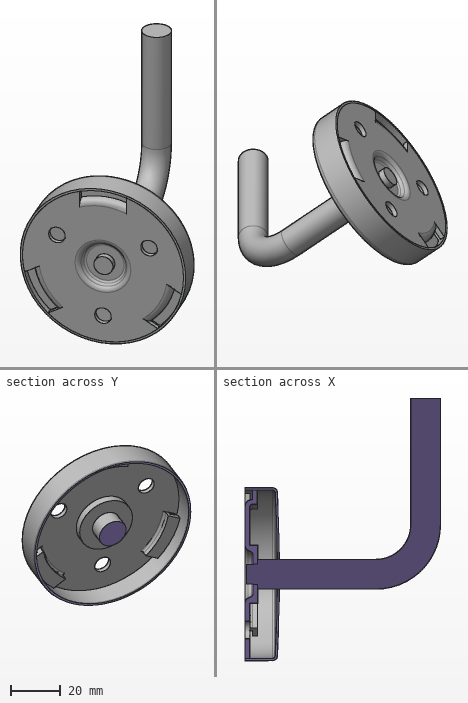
import cadquery as cq
import math

overall_depth = 79.0
overall_height = 106.0

cap_radius = 35.0
cap_wall = 1.0
cap_edge_depth = 13.0
cap_crown_depth = 14.0
cap_edge_fillet = 2.0
cap_inner_radius = cap_radius - cap_wall

sheet = 2.0
bend_inner_radius = 1.0
bend_outer_radius = bend_inner_radius + sheet
plate_radius = cap_inner_radius

dimple_mouth_radius = 11.8
dimple_throat_radius = 9.6
dimple_base_radius = 8.9
dimple_floor_radius = 8.0
dimple_wall_angle = math.radians(62)
dimple_chord_slope = math.tan(dimple_wall_angle / 2)
dimple_throat_depth = (dimple_mouth_radius - dimple_throat_radius) * dimple_chord_slope
dimple_wall_depth = (dimple_throat_radius - dimple_base_radius) * math.tan(dimple_wall_angle)
dimple_base_depth = dimple_throat_depth + dimple_wall_depth
dimple_depth = dimple_base_depth + (dimple_base_radius - dimple_floor_radius) * dimple_chord_slope
dimple_back_depth = dimple_depth + sheet

repeat_count = 3
repeat_angle = 360 / repeat_count
screw_hole_radius = 3.5
screw_circle_radius = 22.5
tab_width = 19.8
tab_bend_start = 27.2
tab_outer_bend = tab_bend_start + bend_outer_radius
tab_inner_bend = tab_bend_start + bend_inner_radius

rod_radius = 6.0
rod_bend_radius = 20.0
stud_radius = 4.0
stud_projection = 2.6
rod_axis_depth = overall_depth - rod_radius
rod_top = overall_height - cap_radius


def revolve_about_y(profile):
    """Revolve a closed (radius, depth) profile around the Y axis."""
    return profile.close().revolve(360, (0, 0, 0), (0, 1, 0))


def cylinder_along_y(radius, start, end, x=0, z=0):
    return cq.Workplane("XZ", origin=(x, start, z)).circle(radius).extrude(start - end)


def domed_disc(radius, edge_depth, crown_depth, edge_fillet):
    """A disc with a flat front and a slightly domed back with a rounded edge."""
    dome_rise = crown_depth - edge_depth
    dome_radius = (radius**2 + dome_rise**2) / (2 * dome_rise)
    mid_radius = radius / 2
    mid_depth = crown_depth - dome_radius + math.sqrt(dome_radius**2 - mid_radius**2)
    profile = (
        cq.Workplane("XY")
        .lineTo(radius, 0)
        .lineTo(radius, edge_depth)
        .threePointArc((mid_radius, mid_depth), (0, crown_depth))
    )
    return revolve_about_y(profile).faces("%CYLINDER").edges(">Y").fillet(edge_fillet)


def make_cap():
    outside = domed_disc(cap_radius, cap_edge_depth, cap_crown_depth, cap_edge_fillet)
    inside = domed_disc(
        cap_inner_radius,
        cap_edge_depth - cap_wall,
        cap_crown_depth - cap_wall,
        cap_edge_fillet - cap_wall,
    )
    return outside.cut(inside).cut(cylinder_along_y(rod_radius, 0, overall_depth))


def make_tab():
    """One tab at the top of the plate: bent backwards, then running out to the rim."""
    arc_factor = math.sqrt(0.5)
    outer_mid = (
        tab_bend_start + bend_outer_radius * arc_factor,
        bend_outer_radius * (1 - arc_factor),
    )
    inner_mid = (
        tab_bend_start + bend_inner_radius * arc_factor,
        bend_outer_radius - bend_inner_radius * arc_factor,
    )
    back_depth = bend_outer_radius + sheet
    profile = (
        cq.Workplane("XY")
        .moveTo(tab_bend_start, 0)
        .threePointArc(outer_mid, (tab_outer_bend, bend_outer_radius))
        .lineTo(plate_radius, bend_outer_radius)
        .lineTo(plate_radius, back_depth)
        .lineTo(tab_inner_bend, back_depth)
        .lineTo(tab_inner_bend, bend_outer_radius)
        .threePointArc(inner_mid, (tab_bend_start, sheet))
    )
    strip = cq.Workplane("XY").box(tab_width, back_depth, plate_radius, centered=(True, False, False))
    return revolve_about_y(profile).intersect(strip)


def make_tab_opening():
    """The gap in the flat sheet in front of the top tab."""
    strip = cq.Workplane("XY").box(tab_width, sheet, plate_radius, centered=(True, False, False))
    return strip.cut(cylinder_along_y(tab_bend_start, 0, sheet))


def make_dimple_recess():
    """The hollow of the dimple: rounded mouth, conical wall and rounded floor edge."""
    mouth_bend = (dimple_mouth_radius - dimple_throat_radius) / math.sin(dimple_wall_angle)
    floor_bend = (dimple_base_radius - dimple_floor_radius) / math.sin(dimple_wall_angle)
    mid_angle = dimple_wall_angle / 2
    mid_run = math.sin(mid_angle)
    mid_drop = 1 - math.cos(mid_angle)
    profile = (
        cq.Workplane("XY")
        .lineTo(dimple_mouth_radius, 0)
        .threePointArc(
            (dimple_mouth_radius - mouth_bend * mid_run, mouth_bend * mid_drop),
            (dimple_throat_radius, dimple_throat_depth),
        )
        .lineTo(dimple_base_radius, dimple_base_depth)
        .threePointArc(
            (dimple_floor_radius + floor_bend * mid_run, dimple_depth - floor_bend * mid_drop),
            (dimple_floor_radius, dimple_depth),
        )
        .lineTo(0, dimple_depth)
    )
    return revolve_about_y(profile)


def make_plate():
    plate = cylinder_along_y(plate_radius, 0, sheet)
    plate = plate.union(cylinder_along_y(dimple_mouth_radius, 0, dimple_back_depth))
    plate = plate.cut(make_dimple_recess())
    plate = plate.cut(cylinder_along_y(stud_radius, 0, dimple_back_depth))
    screw_hole = cylinder_along_y(screw_hole_radius, 0, sheet, z=-screw_circle_radius)
    opening = make_tab_opening()
    tab = make_tab()
    for index in range(repeat_count):
        turn = ((0, 0, 0), (0, 1, 0), index * repeat_angle)
        plate = plate.cut(screw_hole.rotate(*turn))
        plate = plate.cut(opening.rotate(*turn)).union(tab.rotate(*turn))
    return plate


def make_rod():
    """A bent round bar, with a thinner stud that passes through the dimple floor."""
    bend_start = rod_axis_depth - rod_bend_radius
    bend_mid_offset = rod_bend_radius * math.sqrt(0.5)
    path = (
        cq.Workplane("YZ")
        .moveTo(dimple_back_depth, 0)
        .lineTo(bend_start, 0)
        .threePointArc(
            (bend_start + bend_mid_offset, rod_bend_radius - bend_mid_offset),
            (rod_axis_depth, rod_bend_radius),
        )
        .lineTo(rod_axis_depth, rod_top)
    )
    bar = cq.Workplane("XZ", origin=(0, dimple_back_depth, 0)).circle(rod_radius).sweep(path)
    stud = cylinder_along_y(stud_radius, dimple_depth - stud_projection, dimple_back_depth)
    return bar.union(stud)


cap = make_cap()
plate = make_plate()
rod = make_rod()

result = cq.Compound.makeCompound([cap.val(), plate.val(), rod.val()])